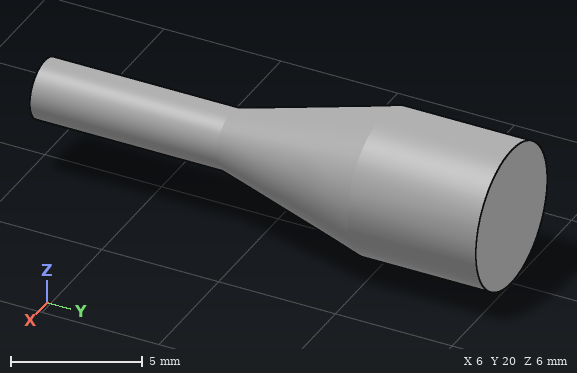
import cadquery as cq

total_length = 20.0
head_diameter = 6.0
head_length = 5.5
shank_diameter = 2.5
shank_length = 8.0

shank_end = -total_length / 2
taper_start = shank_end + shank_length
head_end = total_length / 2
taper_end = head_end - head_length

head_radius = head_diameter / 2
shank_radius = shank_diameter / 2

profile = (
    cq.Workplane("XY")
    .moveTo(0, shank_end)
    .lineTo(shank_radius, shank_end)
    .lineTo(shank_radius, taper_start)
    .lineTo(head_radius, taper_end)
    .lineTo(head_radius, head_end)
    .lineTo(0, head_end)
    .close()
)

result = profile.revolve(360, (0, 0, 0), (0, 1, 0))